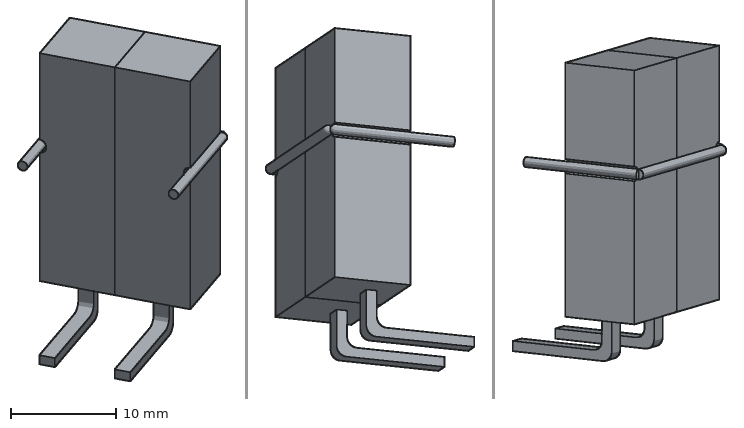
import cadquery as cq

housing_width = 7.7
housing_depth = 7.75
housing_height = 24.55
wire_diameter = 1.0
wire_span = 16.45
wire_drop = 10.0
groove_radius = 0.7
leg_tip_y = -8.2
pin_width = 1.6
pin_upright_thickness = 1.08
pin_foot_thickness = 1.0
pin_bend_radius = 1.0
pin_back_y = -0.55
pin_tip_y = -11.58
pin_drop = 4.55

housing_back_y = housing_depth / 2
wire_radius = wire_diameter / 2
wire_z = housing_height - wire_drop
leg_x = (wire_span - wire_diameter) / 2
bar_y = housing_back_y + wire_radius


def make_housing(side):
    """Plain block with a half-round wire groove on its outer side; side is -1 or 1."""
    block = cq.Workplane("XY").box(housing_width, housing_depth, housing_height, centered=(True, True, False))
    groove = (
        cq.Workplane("XZ", origin=(side * leg_x, 0, wire_z))
        .circle(groove_radius)
        .extrude(housing_depth / 2, both=True)
    )
    return block.translate((side * housing_width / 2, 0, 0)).cut(groove)


def make_pin(side):
    """Flat pin running down from the housing and bent forward into a foot."""
    front_y = pin_back_y - pin_upright_thickness
    foot_top_z = pin_foot_thickness - pin_drop
    return (
        cq.Workplane("YZ", origin=(side * housing_width / 2, 0, 0))
        .moveTo(pin_back_y, 0)
        .lineTo(pin_back_y, pin_bend_radius - pin_drop)
        .radiusArc((pin_back_y - pin_bend_radius, -pin_drop), pin_bend_radius)
        .lineTo(pin_tip_y, -pin_drop)
        .lineTo(pin_tip_y, foot_top_z)
        .lineTo(front_y - pin_bend_radius, foot_top_z)
        .radiusArc((front_y, foot_top_z + pin_bend_radius), -pin_bend_radius)
        .lineTo(front_y, 0)
        .close()
        .extrude(pin_width / 2, both=True)
    )


def wire_rod(start, direction, length):
    """Straight round piece of wire."""
    return cq.Workplane(cq.Solid.makeCylinder(wire_radius, length, cq.Vector(*start), cq.Vector(*direction)))


def wire_ball(centre):
    """Ball that rounds the end of a straight piece."""
    return cq.Workplane("XY").sphere(wire_radius).translate(centre)


def make_wire():
    """Bar behind the housings with a leg along each side."""
    bar_start = (wire_radius - leg_x, bar_y, wire_z)
    bar = wire_rod(bar_start, (1, 0, 0), 2 * leg_x - wire_radius)
    left_leg = wire_rod((-leg_x, leg_tip_y, wire_z), (0, 1, 0), housing_back_y - leg_tip_y)
    left_corner = wire_ball(bar_start).union(wire_ball((-leg_x, housing_back_y, wire_z)))
    right_leg = wire_rod((leg_x, leg_tip_y, wire_z), (0, 1, 0), bar_y - leg_tip_y)
    return bar.union(left_corner).union(left_leg).union(right_leg)


housings = []
pins = []
for side in (-1, 1):
    housings.extend(make_housing(side).solids().vals())
    pins.extend(make_pin(side).solids().vals())
wire = make_wire()

result = cq.Compound.makeCompound([*housings, *pins, *wire.solids().vals()])